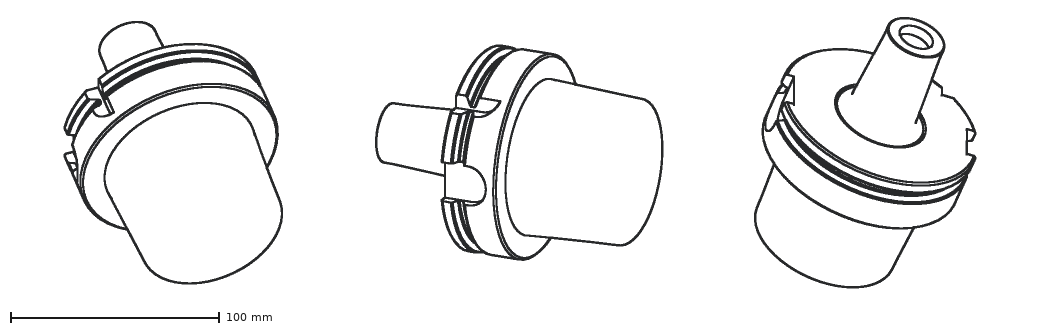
import cadquery as cq
import math

total_length = 129
flange_front = 49.9
flange_back = 79.1

nose_tip_radius = 14.51
nose_root_radius = 16.8
nose_land_length = 5.2
nose_root_x = 43.9
nose_tip_chamfer = 0.4
bore_diameter = 17.0
bore_depth = 5.3

fillet_start_x = 45.0
fillet_radius = 5.3
recess_bottom_x = fillet_start_x + fillet_radius
recess_inner_radius = nose_root_radius + fillet_radius
recess_outer_radius = 23.2

flange_radius = 100.0 / 2
flange_chamfer = 1.0
groove_center_x = 59.0
groove_depth = 4.0
groove_mouth_half = 3.7
groove_shoulder_half = 3.0
groove_wall_half = 1.5
groove_floor_half = 0.9
groove_bevel = 0.5

shank_front_radius = 38.0
shank_back_radius = 35.6
shank_end_round = 1.8

slot_end_x = 74.2
slot_floor_y = 44.1
front_slot_width = 20.0
back_slot_width = 22.2
back_slot_corner_radius = 10.0
notch_wall_y = -31.5
notch_floor_z = 31.7
notch_end_x = 73.9
notch_corner_radius = 10.0


def make_turned_body():
    """Revolve the half profile, drawn as (x, radius), about the X axis."""
    groove_floor = flange_radius - groove_depth
    half_groove = [
        (groove_mouth_half, flange_radius),
        (groove_shoulder_half, flange_radius - groove_bevel),
        (groove_wall_half, groove_floor + groove_bevel),
        (groove_floor_half, groove_floor),
    ]
    groove = [(groove_center_x - dx, r) for dx, r in half_groove]
    groove += [(groove_center_x + dx, r) for dx, r in reversed(half_groove)]

    arc_offset = fillet_radius * math.sin(math.radians(45))
    fillet_middle = (fillet_start_x + arc_offset, recess_inner_radius - arc_offset)

    profile = (
        cq.Workplane("XZ")
        .moveTo(0, 0)
        .lineTo(0, nose_tip_radius - nose_tip_chamfer)
        .lineTo(nose_tip_chamfer, nose_tip_radius)
        .lineTo(nose_land_length, nose_tip_radius)
        .lineTo(nose_root_x, nose_root_radius)
        .lineTo(fillet_start_x, nose_root_radius)
        .threePointArc(fillet_middle, (recess_bottom_x, recess_inner_radius))
        .lineTo(flange_front, recess_outer_radius)
        .lineTo(flange_front, flange_radius - flange_chamfer)
        .lineTo(flange_front + flange_chamfer, flange_radius)
    )
    for point in groove:
        profile = profile.lineTo(*point)
    profile = (
        profile.lineTo(flange_back - flange_chamfer, flange_radius)
        .lineTo(flange_back, flange_radius - flange_chamfer)
        .lineTo(flange_back, shank_front_radius)
        .lineTo(total_length, shank_back_radius)
        .lineTo(total_length, 0)
        .close()
    )
    body = profile.revolve(360, (0, 0, 0), (1, 0, 0))
    return body.faces(">X").edges().fillet(shank_end_round)


def make_bore():
    return cq.Workplane("YZ").circle(bore_diameter / 2).extrude(bore_depth)


def make_round_slot():
    """Cutter for the -Y slot, closed by a full half circle."""
    end_radius = front_slot_width / 2
    arc_start_x = slot_end_x - end_radius
    return (
        cq.Workplane("XZ", origin=(0, -slot_floor_y, 0))
        .moveTo(flange_front, -end_radius)
        .lineTo(arc_start_x, -end_radius)
        .threePointArc((slot_end_x, 0), (arc_start_x, end_radius))
        .lineTo(flange_front, end_radius)
        .close()
        .extrude(flange_radius - slot_floor_y)
    )


def make_flat_ended_slot():
    """Cutter for the +Y slot, whose end has two rounded corners."""
    length = slot_end_x - flange_front
    depth = flange_radius - slot_floor_y
    return (
        cq.Workplane("XY")
        .box(length, depth, back_slot_width, centered=(False, False, True))
        .edges("|Y and >X")
        .fillet(back_slot_corner_radius)
        .translate((flange_front, slot_floor_y, 0))
    )


def make_corner_notch():
    """Cutter for the notch whose floor sweeps up at its closed end."""
    length = notch_end_x - flange_front
    return (
        cq.Workplane("XY")
        .box(length, flange_radius, flange_radius, centered=False)
        .edges("|Y and >X and <Z")
        .fillet(notch_corner_radius)
        .translate((flange_front, notch_wall_y - flange_radius, notch_floor_z))
    )


result = (
    make_turned_body()
    .cut(make_bore())
    .cut(make_round_slot())
    .cut(make_flat_ended_slot())
    .cut(make_corner_notch())
)